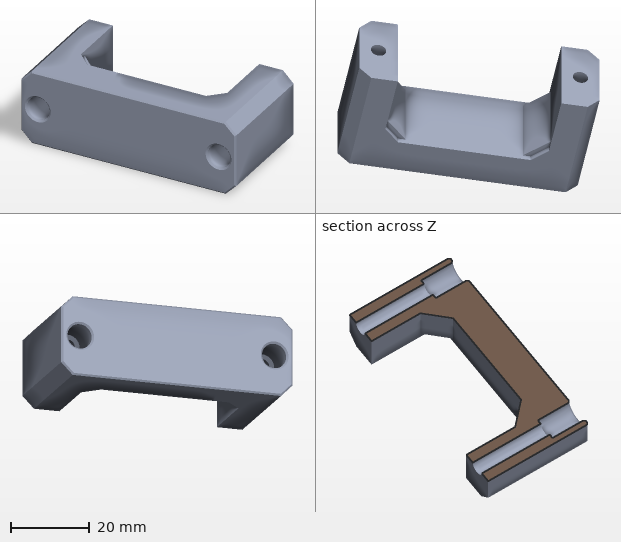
import cadquery as cq

length = 62.25
depth = 31.05
height = 21.0

arm_width = 9.95
back_thickness = 9.95
edge_bevel = 3.1
front_chamfer = 0.45

face_web = 4.0
middle_web = 6.0
ledge_depth = 1.4

hole_diameter = 3.9
counterbore_diameter = 6.5
counterbore_depth = 9.95
mouth_chamfer = 0.5

inner_half = length / 2 - arm_width
hole_x = length / 2 - arm_width / 2
front_y = -depth / 2
inner_y = front_y + back_thickness


def make_block():
    """Outer block with bevelled long edges and a chamfered front face."""
    block = cq.Workplane("XY").box(length, depth, height)
    block = block.edges("|Y").chamfer(edge_bevel)
    return block.faces("<Y").edges().chamfer(front_chamfer)


def make_opening(web, opening_height):
    """Opening between the arms, with its two inside corners cut off by webs."""
    return (
        cq.Workplane("XY")
        .moveTo(-inner_half, depth / 2)
        .lineTo(-inner_half, inner_y + web)
        .lineTo(-inner_half + web, inner_y)
        .lineTo(inner_half - web, inner_y)
        .lineTo(inner_half, inner_y + web)
        .lineTo(inner_half, depth / 2)
        .close()
        .extrude(opening_height / 2, both=True)
    )


def make_screw_hole(x):
    """Through hole with a counterbore and a chamfered mouth on the front face."""
    front = cq.Workplane("XZ", origin=(x, front_y, 0))
    shank = front.circle(hole_diameter / 2).extrude(-depth)
    counterbore = front.circle(counterbore_diameter / 2).extrude(-counterbore_depth)
    mouth = (
        front.circle(counterbore_diameter / 2 + mouth_chamfer)
        .workplane(offset=-mouth_chamfer)
        .circle(counterbore_diameter / 2)
        .loft()
    )
    return shank.union(counterbore).union(mouth)


result = make_block()
result = result.cut(make_opening(middle_web, height))

face_opening = make_opening(face_web, height)
middle_layer = cq.Workplane("XY").box(length, depth, height - 2 * ledge_depth)
result = result.cut(face_opening.cut(middle_layer))

for side in (-1, 1):
    result = result.cut(make_screw_hole(side * hole_x))